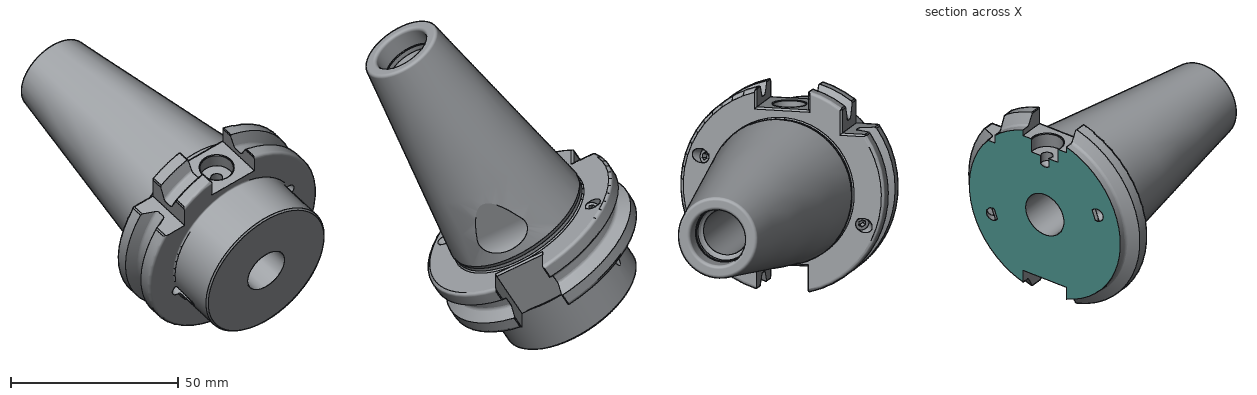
import cadquery as cq
import math

TAPER_LENGTH = 68.4
GAUGE_RADIUS = 44.45 / 2
TAPER_SLOPE = 7 / 48
TAPER_END = 0.5
TAIL_FILLET = 1.0

NECK_RADIUS = 21.9
NECK_START = 1.7

NOSE_END = 35.0
NOSE_RADIUS = 22.5
NOSE_CHAMFER = 0.5

FLANGE_START = 3.2
FLANGE_END = 19.1
FLANGE_RADIUS = 63.55 / 2
FLANGE_FILLET = 1.0
NOSE_ROOT_FILLET = 0.5
NECK_FILLET = 0.45

GROOVE_CENTER = 11.1
GROOVE_ROOT_RADIUS = 28.1
GROOVE_ROOT_WIDTH = 3.2
GROOVE_HALF_ANGLE = 30.0
GROOVE_ROOT_FILLET = 1.0

PILOT_RADIUS = 8.5
PILOT_DEPTH = 6.0
PILOT_FILLET = 1.0
STEP_RADIUS = 8.25
STEP_LENGTH = 1.5
CONE_END_RADIUS = 7.6
CONE_LENGTH = 1.2
BORE_RADIUS = 7.0

SLOT_WIDTH = 16.1
TOP_SLOT_FLOOR = 25.0
BOTTOM_SLOT_FLOOR = 22.8
CORNER_NOTCH = 18.5
FACE_CHAMFER = 0.6
RIM_CHAMFER = 0.3

CHIP_RADIUS = 5.0
CHIP_DEPTH = 4.6
CHIP_CHAMFER = 0.25
PIN_HOLE_RADIUS = 1.8
PIN_HOLE_DEPTH = 3.0
DRILL_POINT_HALF_ANGLE = 59.0

RELIEF_FLOOR = 19.5
RELIEF_FLAT_END = -8.5
RELIEF_LENGTH = 20.0
RELIEF_RADIUS = 10.0

COOLANT_AZIMUTHS = (20.0, 200.0)
INLET_RADIUS = 2.1
INLET_TILT = 37.0
INLET_OFFSET = 27.0
OUTLET_RADIUS = 2.0
OUTLET_TILT = 15.0
OUTLET_OFFSET = 22.4
PLUG_LENGTH = 5.0
SOCKET_ACROSS_FLATS = 2.0
SOCKET_DEPTH = 2.0

OVERCUT = 15.0
MATCH_TOLERANCE = 1e-3

FLANGE_WIDTH = FLANGE_END - FLANGE_START


def taper_radius(x):
    return GAUGE_RADIUS + TAPER_SLOPE * x


def turned_body():
    tail = -TAPER_LENGTH
    root_half = GROOVE_ROOT_WIDTH / 2
    groove_depth = FLANGE_RADIUS - GROOVE_ROOT_RADIUS
    mouth_half = root_half + groove_depth * math.tan(math.radians(GROOVE_HALF_ANGLE))
    outline = [
        (tail, 0),
        (tail, taper_radius(tail)),
        (TAPER_END, taper_radius(TAPER_END)),
        (NECK_START, NECK_RADIUS),
        (FLANGE_START, NECK_RADIUS),
        (FLANGE_START, FLANGE_RADIUS),
        (GROOVE_CENTER - mouth_half, FLANGE_RADIUS),
        (GROOVE_CENTER - root_half, GROOVE_ROOT_RADIUS),
        (GROOVE_CENTER + root_half, GROOVE_ROOT_RADIUS),
        (GROOVE_CENTER + mouth_half, FLANGE_RADIUS),
        (FLANGE_END, FLANGE_RADIUS),
        (FLANGE_END, NOSE_RADIUS),
        (NOSE_END, NOSE_RADIUS),
        (NOSE_END, 0),
    ]
    turned = cq.Workplane("XY").polyline(outline).close().revolve(360, (0, 0, 0), (1, 0, 0))

    def circle_at(x, radius):
        center = cq.Vector(x, 0, 0)
        return [
            edge
            for edge in turned.edges("%CIRCLE").vals()
            if (edge.arcCenter() - center).Length < MATCH_TOLERANCE
            and abs(edge.radius() - radius) < MATCH_TOLERANCE
        ]

    groove_roots = [
        edge for side in (-1, 1) for edge in circle_at(GROOVE_CENTER + side * root_half, GROOVE_ROOT_RADIUS)
    ]
    rims = [edge for x in (FLANGE_START, FLANGE_END) for edge in circle_at(x, FLANGE_RADIUS)]
    blends = [
        (groove_roots, GROOVE_ROOT_FILLET),
        (rims, FLANGE_FILLET),
        (circle_at(tail, taper_radius(tail)), TAIL_FILLET),
        (circle_at(FLANGE_END, NOSE_RADIUS), NOSE_ROOT_FILLET),
        (circle_at(FLANGE_START, NECK_RADIUS), NECK_FILLET),
    ]
    for edges, radius in blends:
        turned = turned.newObject(edges).fillet(radius)
    return turned.faces(">X").edges().chamfer(NOSE_CHAMFER)


def bore():
    """Through bore, narrowing from the rounded pilot at the tail over a step and two cones."""
    tail = -TAPER_LENGTH
    pilot_end = tail + PILOT_DEPTH
    step_start = pilot_end + PILOT_RADIUS - STEP_RADIUS
    step_end = step_start + STEP_LENGTH
    cone_end = step_end + CONE_LENGTH
    return (
        cq.Workplane("XY")
        .moveTo(tail, 0)
        .lineTo(tail, PILOT_RADIUS + PILOT_FILLET)
        .radiusArc((tail + PILOT_FILLET, PILOT_RADIUS), -PILOT_FILLET)
        .lineTo(pilot_end, PILOT_RADIUS)
        .lineTo(step_start, STEP_RADIUS)
        .lineTo(step_end, STEP_RADIUS)
        .lineTo(cone_end, CONE_END_RADIUS)
        .lineTo(cone_end + CONE_END_RADIUS - BORE_RADIUS, BORE_RADIUS)
        .lineTo(NOSE_END, BORE_RADIUS)
        .lineTo(NOSE_END, 0)
        .close()
        .revolve(360, (0, 0, 0), (1, 0, 0))
    )


def rim_height(offset):
    """Height at which a wall standing this far off the flange centre reaches the rim."""
    return math.sqrt(FLANGE_RADIUS**2 - offset**2)


def face_chamfer(y_min, y_max, z_min, z_max):
    """Chamfer of a rectangular opening in the taper-side flange face, narrowing into the flange."""
    opening = cq.Workplane("YZ", origin=(FLANGE_START, (y_min + y_max) / 2, (z_min + z_max) / 2))
    width = y_max - y_min + 2 * FACE_CHAMFER
    height = z_max - z_min + 2 * FACE_CHAMFER
    return opening.rect(width, height).extrude(FACE_CHAMFER, taper=45)


def flange_prism(outline):
    return cq.Workplane("YZ", origin=(FLANGE_START, 0, 0)).polyline(outline).close().extrude(FLANGE_WIDTH)


def drive_slot(floor):
    """Drive slot in the +Z side of the flange, with its wall edges chamfered along the rim."""
    half = SLOT_WIDTH / 2
    mouth_half = half + RIM_CHAMFER
    top = FLANGE_RADIUS + OVERCUT
    return flange_prism([
        (-half, floor),
        (half, floor),
        (half, rim_height(half) - RIM_CHAMFER),
        (mouth_half, rim_height(mouth_half)),
        (mouth_half, top),
        (-mouth_half, top),
        (-mouth_half, rim_height(mouth_half)),
        (-half, rim_height(half) - RIM_CHAMFER),
    ])


def top_slot():
    half = SLOT_WIDTH / 2
    chamfer = face_chamfer(-half, half, TOP_SLOT_FLOOR, FLANGE_RADIUS + OVERCUT)
    return drive_slot(TOP_SLOT_FLOOR).union(chamfer)


def bottom_slot():
    """The deeper drive slot, chamfered on the flange face along its floor only."""
    half = SLOT_WIDTH / 2
    outer = FLANGE_RADIUS + OVERCUT
    chamfer = face_chamfer(-half, half, BOTTOM_SLOT_FLOOR, outer)
    between_walls = cq.Workplane("XY").box(2 * outer, SLOT_WIDTH, 2 * outer)
    slot = drive_slot(BOTTOM_SLOT_FLOOR).union(chamfer.intersect(between_walls))
    return slot.rotate((0, 0, 0), (1, 0, 0), 180)


def corner_notch():
    """Square orientation notch on the -Y +Z side, its two faces chamfered along the rim."""
    outer = FLANGE_RADIUS + OVERCUT
    wall = CORNER_NOTCH
    chamfer_start = rim_height(wall) - RIM_CHAMFER
    mouth = wall - RIM_CHAMFER
    through = flange_prism([
        (-wall, wall),
        (-wall, chamfer_start),
        (-mouth, rim_height(mouth)),
        (-mouth, outer),
        (-outer, outer),
        (-outer, mouth),
        (-rim_height(mouth), mouth),
        (-chamfer_start, wall),
    ])
    return through.union(face_chamfer(-outer, -wall, wall, outer))


def chip_pocket():
    """Data chip pocket in the floor of the top slot, with a drilled hole in its own floor."""
    pocket_floor = TOP_SLOT_FLOOR - CHIP_DEPTH
    hole_end = pocket_floor - PIN_HOLE_DEPTH
    point_depth = PIN_HOLE_RADIUS / math.tan(math.radians(DRILL_POINT_HALF_ANGLE))
    outline = [
        (0, TOP_SLOT_FLOOR),
        (CHIP_RADIUS + CHIP_CHAMFER, TOP_SLOT_FLOOR),
        (CHIP_RADIUS, TOP_SLOT_FLOOR - CHIP_CHAMFER),
        (CHIP_RADIUS, pocket_floor),
        (PIN_HOLE_RADIUS, pocket_floor),
        (PIN_HOLE_RADIUS, hole_end),
        (0, hole_end - point_depth),
    ]
    pocket = cq.Workplane("XZ").polyline(outline).close().revolve(360, (0, 0, 0), (0, 1, 0))
    return pocket.translate((GROOVE_CENTER, 0, 0))


def taper_relief():
    """Flat milled under the big end of the taper, running out along the cutter's radius."""
    return (
        cq.Workplane("XZ")
        .moveTo(RELIEF_FLAT_END - RELIEF_LENGTH, -RELIEF_FLOOR)
        .lineTo(RELIEF_FLAT_END, -RELIEF_FLOOR)
        .radiusArc((RELIEF_FLAT_END + RELIEF_RADIUS, -RELIEF_FLOOR - RELIEF_RADIUS), RELIEF_RADIUS)
        .lineTo(RELIEF_FLAT_END - RELIEF_LENGTH, -RELIEF_FLOOR - RELIEF_RADIUS)
        .close()
        .extrude(GAUGE_RADIUS, both=True)
    )


def coolant_frame(azimuth):
    """Inlet point on the flange face, and the directions of the inlet and outlet axes."""
    angle = math.radians(azimuth)
    radial = cq.Vector(0, math.cos(angle), math.sin(angle))
    axial = cq.Vector(1, 0, 0)

    def leaning(tilt):
        lean = math.radians(tilt)
        return axial * math.cos(lean) + radial * math.sin(lean)

    mouth = axial * FLANGE_START + radial * INLET_OFFSET
    return mouth, leaning(-INLET_TILT), leaning(OUTLET_TILT)


def inlet_length():
    """Distance along the inlet axis from the flange face to where it meets the outlet axis."""
    inlet_slope = math.tan(math.radians(INLET_TILT))
    outlet_slope = math.tan(math.radians(OUTLET_TILT))
    outlet_offset_at_inlet_face = OUTLET_OFFSET - outlet_slope * FLANGE_WIDTH
    reach = (INLET_OFFSET - outlet_offset_at_inlet_face) / (inlet_slope + outlet_slope)
    return reach / math.cos(math.radians(INLET_TILT))


def rod(radius, start, direction, length):
    return cq.Workplane(cq.Solid.makeCylinder(radius, length, start, direction))


def coolant_channel(azimuth):
    """V-shaped channel: an inlet from the flange face and an outlet that breaks out along the nose."""
    mouth, inward, outward = coolant_frame(azimuth)
    depth = inlet_length()
    inlet = rod(INLET_RADIUS, mouth - inward * OVERCUT, inward, OVERCUT + depth)
    outlet = rod(OUTLET_RADIUS, mouth + inward * depth, outward, FLANGE_WIDTH + OVERCUT)
    return inlet.union(outlet)


def make_plug(azimuth):
    """Grub screw closing a coolant inlet, its face just below the flange face."""
    mouth, inward, _ = coolant_frame(azimuth)
    sink = INLET_RADIUS * math.tan(math.radians(INLET_TILT))
    start = mouth + inward * sink
    plane = cq.Plane(origin=start.toTuple(), normal=inward.toTuple())
    socket = cq.Workplane(plane).polygon(6, SOCKET_ACROSS_FLATS, circumscribed=True).extrude(SOCKET_DEPTH)
    return rod(INLET_RADIUS, start, inward, PLUG_LENGTH).cut(socket)


def make_housing():
    housing = turned_body()
    cutters = [bore(), top_slot(), bottom_slot(), corner_notch(), chip_pocket(), taper_relief()]
    cutters += [coolant_channel(azimuth) for azimuth in COOLANT_AZIMUTHS]
    for cutter in cutters:
        housing = housing.cut(cutter)
    return housing


housing = make_housing()
plugs = [make_plug(azimuth) for azimuth in COOLANT_AZIMUTHS]

result = cq.Compound.makeCompound([body.solids().val() for body in [housing, *plugs]])